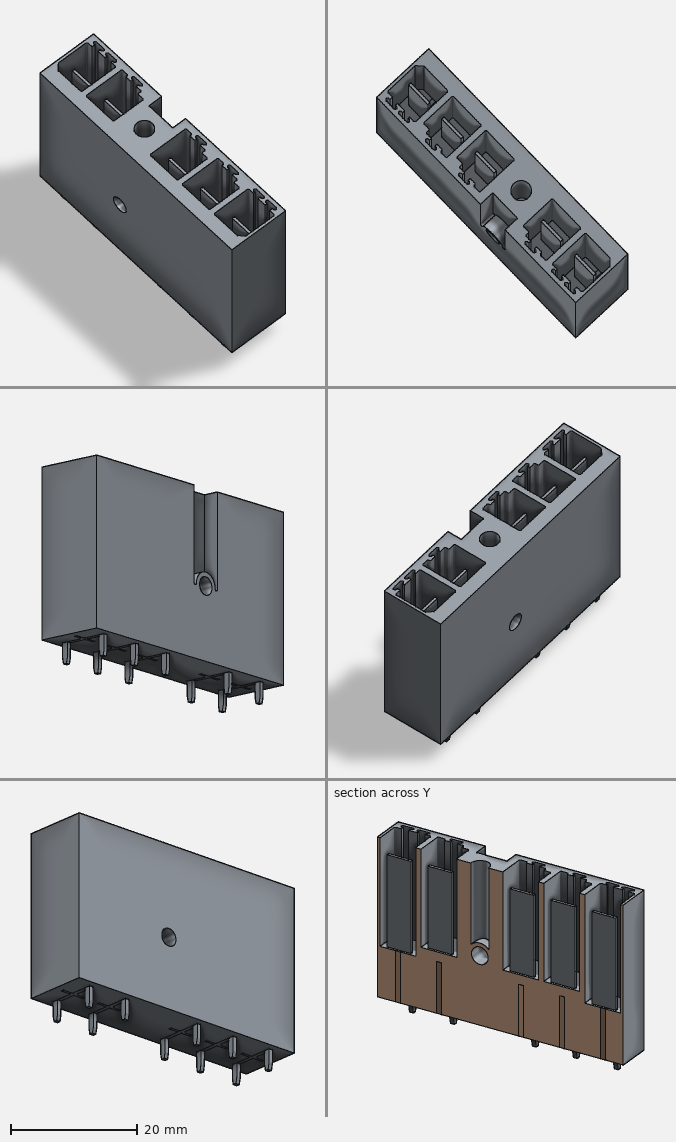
import cadquery as cq

LENGTH = 45.7
DEPTH = 11.4
HEIGHT = 28.35

POSITIONS = 6
PITCH = LENGTH / POSITIONS
BORE_INDEX = 2

CAVITY_HALF_WIDTH = 3.3
CAVITY_FRONT = -3.2
MIDDLE_CORNER = 0.2
END_CORNER = 0.27
END_CHAMFER = 0.95
SHELF = 4.0
END_OUTER_SHELF = 3.85
END_INNER_SHELF = 4.1
HIGH_SHELF = 4.45
LOW_SHELF = 3.2
STEP_X = 1.87
END_FLOOR = 9.15
MIDDLE_FLOOR = 10.95

KEY_TOP = 5.0
KEY_HEAD_WIDTH = 2.3
KEY_HEAD_HEIGHT = 0.55
KEY_NECK_WIDTH = 1.3
KEY_ROUND = 0.25
END_KEY_OFFSET = 1.45

BORE_Z = 12.35
BORE_DIAMETER = 3.0
TUBE_DIAMETER = 4.55
TOP_HOLE_DIAMETER = 3.25
TOP_HOLE_Y = -0.5
NOTCH_WIDTH = 5.65
NOTCH_DEPTH = 2.7

BLADE_WIDTH = 4.45
BLADE_THICKNESS = 0.5
BLADE_RECESS = 2.9
BLADE_TOP = HEIGHT - BLADE_RECESS
WEB_THICKNESS = 0.75
WEB_FILLET = 0.7
FOOT_HEIGHT = 2.75
PIN_WIDTH = 1.05
PIN_LENGTH = 3.47
PIN_TIP_WIDTH = 0.65
PIN_TIP_LENGTH = 1.0
PIN_OFFSET = PITCH / 2

REAR = DEPTH / 2
FRONT = -DEPTH / 2


def position_x(index):
    """X of a contact position, counted from the left."""
    return (index - (POSITIONS - 1) / 2) * PITCH


BORE_X = position_x(BORE_INDEX)
CONTACT_INDEXES = [i for i in range(POSITIONS) if i != BORE_INDEX]
LEFT_END = 0
RIGHT_END = POSITIONS - 1


def key_slot(x, neck_bottom, floor):
    """T-shaped slot that starts at the wall at neck_bottom, with a round-ended head."""
    height = HEIGHT - floor
    head = (
        cq.Workplane("XY", origin=(x, KEY_TOP - KEY_HEAD_HEIGHT / 2, floor))
        .rect(KEY_HEAD_WIDTH, KEY_HEAD_HEIGHT)
        .extrude(height)
        .edges("|Z")
        .fillet(KEY_ROUND)
    )
    neck_length = KEY_TOP - KEY_HEAD_HEIGHT / 2 - neck_bottom
    neck = (
        cq.Workplane("XY", origin=(x, neck_bottom + neck_length / 2, floor))
        .rect(KEY_NECK_WIDTH, neck_length)
        .extrude(height)
    )
    return head.union(neck)


def middle_cavity():
    """Cavity with one key slot, a high shelf on its left and a low one on its right."""
    outline = [
        (-CAVITY_HALF_WIDTH, CAVITY_FRONT),
        (-CAVITY_HALF_WIDTH, HIGH_SHELF),
        (-STEP_X, HIGH_SHELF),
        (-STEP_X, SHELF),
        (STEP_X, SHELF),
        (STEP_X, LOW_SHELF),
        (CAVITY_HALF_WIDTH, LOW_SHELF),
        (CAVITY_HALF_WIDTH, CAVITY_FRONT),
    ]
    pocket = (
        cq.Workplane("XY", origin=(0, 0, MIDDLE_FLOOR))
        .polyline(outline)
        .close()
        .extrude(HEIGHT - MIDDLE_FLOOR)
        .edges("|Z")
        .fillet(MIDDLE_CORNER)
    )
    return pocket.union(key_slot(0, SHELF, MIDDLE_FLOOR))


def end_cavity():
    """Cavity of the left end, with two key slots and a chamfer at its outer front corner."""
    outline = [
        (-CAVITY_HALF_WIDTH, CAVITY_FRONT + END_CHAMFER),
        (-CAVITY_HALF_WIDTH, END_OUTER_SHELF),
        (-END_KEY_OFFSET, END_OUTER_SHELF),
        (-END_KEY_OFFSET, SHELF),
        (END_KEY_OFFSET, SHELF),
        (END_KEY_OFFSET, END_INNER_SHELF),
        (CAVITY_HALF_WIDTH, END_INNER_SHELF),
        (CAVITY_HALF_WIDTH, CAVITY_FRONT),
        (END_CHAMFER - CAVITY_HALF_WIDTH, CAVITY_FRONT),
    ]
    pocket = (
        cq.Workplane("XY", origin=(0, 0, END_FLOOR))
        .polyline(outline)
        .close()
        .extrude(HEIGHT - END_FLOOR)
        .edges("|Z and >X")
        .fillet(END_CORNER)
        .edges("|Z and <X")
        .edges(">Y")
        .fillet(END_CORNER)
    )
    for x in (-END_KEY_OFFSET, END_KEY_OFFSET):
        pocket = pocket.union(key_slot(x, END_OUTER_SHELF, END_FLOOR))
    return pocket


def along_depth(diameter):
    """Cylinder along Y through the whole housing, on the bore's axis."""
    return (
        cq.Workplane("XZ", origin=(BORE_X, FRONT, BORE_Z))
        .circle(diameter / 2)
        .extrude(-DEPTH)
    )


def top_hole():
    """Vertical hole from the top face down to the round top of the tube."""
    hole = (
        cq.Workplane("XY", origin=(BORE_X, TOP_HOLE_Y, BORE_Z))
        .circle(TOP_HOLE_DIAMETER / 2)
        .extrude(HEIGHT - BORE_Z)
    )
    return hole.cut(along_depth(TUBE_DIAMETER))


def rear_notch():
    """Notch from the top down over the tube, with a round-bottomed groove on both sides of it."""
    half = NOTCH_WIDTH / 2
    tube_radius = TUBE_DIAMETER / 2
    groove_radius = (half - tube_radius) / 2
    groove_x = half - groove_radius
    return (
        cq.Workplane("XZ", origin=(BORE_X, REAR, BORE_Z))
        .moveTo(-half, HEIGHT - BORE_Z)
        .lineTo(-half, 0)
        .threePointArc((-groove_x, -groove_radius), (-tube_radius, 0))
        .threePointArc((0, tube_radius), (tube_radius, 0))
        .threePointArc((groove_x, -groove_radius), (half, 0))
        .lineTo(half, HEIGHT - BORE_Z)
        .close()
        .extrude(NOTCH_DEPTH)
    )


def make_contact(index):
    """Flat blade on a cross web, with a foot that carries a front and a rear pin."""
    half_foot = PIN_OFFSET + PIN_WIDTH / 2
    blade = cq.Workplane("XY").box(
        BLADE_WIDTH, BLADE_THICKNESS, BLADE_TOP, centered=(True, True, False)
    )
    half_web = WEB_THICKNESS / 2
    blade_face = -BLADE_THICKNESS / 2
    web = (
        cq.Workplane("XY")
        .moveTo(-half_web, blade_face)
        .lineTo(-half_web, -half_foot)
        .lineTo(half_web, -half_foot)
        .lineTo(half_web, blade_face - WEB_FILLET)
        .radiusArc((half_web + WEB_FILLET, blade_face), WEB_FILLET)
        .close()
        .extrude(END_FLOOR)
    )
    foot = cq.Workplane("XY").box(
        WEB_THICKNESS, 2 * half_foot, FOOT_HEIGHT, centered=(True, True, False)
    )
    contact = blade.union(web).union(foot)
    for y in (-PIN_OFFSET, PIN_OFFSET):
        contact = contact.union(pin(y))
    return contact.translate((position_x(index), 0, 0))


def pin(y):
    """Solder pin below the foot, tapered in Y at its tip."""
    half = PIN_WIDTH / 2
    half_tip = PIN_TIP_WIDTH / 2
    taper_z = PIN_TIP_LENGTH - PIN_LENGTH
    outline = [
        (y - half, 0),
        (y - half, taper_z),
        (y - half_tip, -PIN_LENGTH),
        (y + half_tip, -PIN_LENGTH),
        (y + half, taper_z),
        (y + half, 0),
    ]
    return cq.Workplane("YZ").polyline(outline).close().extrude(WEB_THICKNESS / 2, both=True)


def make_housing(contacts):
    """Block with its cavities, bore, holes and notch, and a matching recess for each contact."""
    housing = cq.Workplane("XY").box(LENGTH, DEPTH, HEIGHT, centered=(True, True, False))
    for index in CONTACT_INDEXES:
        if index in (LEFT_END, RIGHT_END):
            cavity = end_cavity()
        else:
            cavity = middle_cavity()
        if index == RIGHT_END:
            cavity = cavity.mirror("YZ")
        housing = housing.cut(cavity.translate((position_x(index), 0, 0)))
    housing = housing.cut(along_depth(BORE_DIAMETER)).cut(top_hole()).cut(rear_notch())
    for contact in contacts:
        housing = housing.cut(contact)
    return housing


contacts = [make_contact(index) for index in CONTACT_INDEXES]
housing = make_housing(contacts)
result = cq.Compound.makeCompound([housing.val(), *[contact.val() for contact in contacts]])